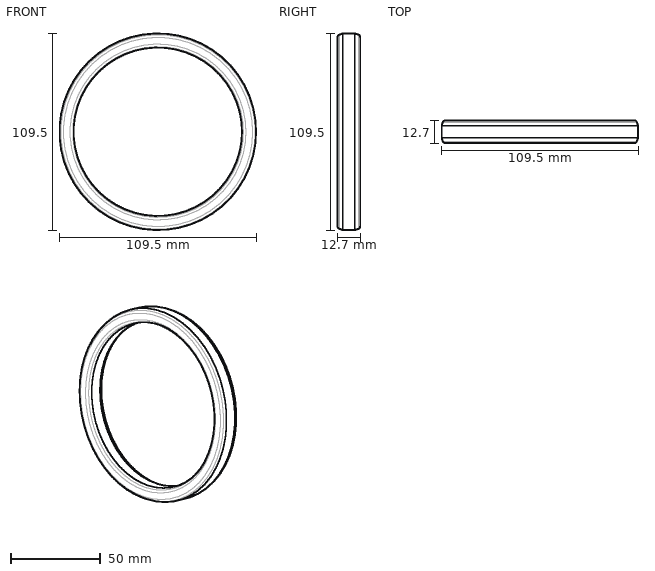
import cadquery as cq
import math

outer_diameter = 109.5
wall = 8.0
width = 12.7

taper_length = 3.0
taper_angle = 20.0
blend_radius = 1.5

outer_radius = outer_diameter / 2
inner_radius = outer_radius - wall
half_width = width / 2
land_half_width = half_width - taper_length
taper_depth = taper_length * math.tan(math.radians(taper_angle))


def ring_section():
    """Radial section: X is the radius, Y runs across the ring width."""
    return cq.Workplane("XY").polyline([
        (inner_radius, -land_half_width),
        (inner_radius + taper_depth, -half_width),
        (outer_radius - taper_depth, -half_width),
        (outer_radius, -land_half_width),
        (outer_radius, land_half_width),
        (outer_radius - taper_depth, half_width),
        (inner_radius + taper_depth, half_width),
        (inner_radius, land_half_width),
    ]).close()


ring = ring_section().revolve(360, (0, 0, 0), (0, 1, 0))

result = ring.faces("<Y or >Y").edges("%CIRCLE").fillet(blend_radius)